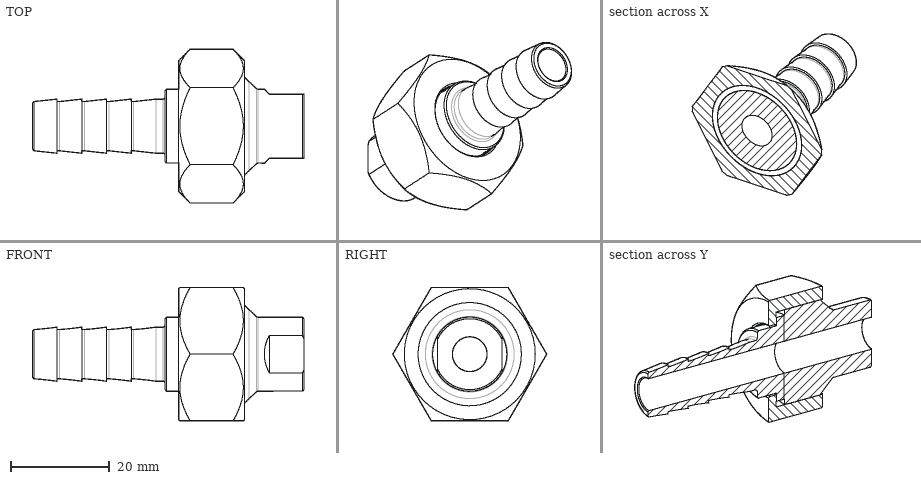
import cadquery as cq
import math

total_length = 55.0
bore_dia = 7.0
pipe_dia = 15.0
edge_chamfer = 0.35

barb_count = 4
barb_pitch = 5.0
barb_crest_dia = 11.0
barb_root_dia = 10.0
barb_groove_width = 0.5
tip_chamfer = 0.35
bore_chamfer = 0.2
collar_start = 26.85
collar_fillet = 0.4
flange_dia = 18.65
flange_thickness = 2.0

nut_start = 29.6
nut_length = 13.35
nut_across_flats = 27.0
nut_face_dia = 26.5
nut_hole_dia = 15.5
nut_hole_chamfer = 0.35
nut_lip_thickness = 2.0
thread_dia = 20.9

cone_end = 45.5
cone_seam_x = 43.9
cone_seam_dia = 18.0
cone_fillet = 0.55
wrench_flat_width = 13.0
wrench_flat_start = 47.95

nut_end = nut_start + nut_length
flange_start = nut_start + nut_lip_thickness
body_start = flange_start + flange_thickness
pipe_radius = pipe_dia / 2
thread_chamfer_start = cone_seam_x - (thread_dia - cone_seam_dia) / 2
neck_angle = math.atan2((cone_seam_dia - pipe_dia) / 2, cone_end - cone_seam_x)


def revolve_about_x(profile):
    """Turn a closed (x, radius) profile in the XY plane about the X axis."""
    return profile.close().revolve(360, (0, 0, 0), (1, 0, 0))


def cylinder_along_x(start, end, diameter):
    return cq.Workplane("YZ", origin=(start, 0, 0)).circle(diameter / 2).extrude(end - start)


def make_tail():
    """Barbed hose tail with a collar and the flange held by the nut."""
    bore_radius = bore_dia / 2
    crest_radius = barb_crest_dia / 2
    root_radius = barb_root_dia / 2
    profile = (
        cq.Workplane("XY")
        .moveTo(bore_chamfer, bore_radius)
        .lineTo(0, bore_radius + bore_chamfer)
        .lineTo(0, root_radius - tip_chamfer)
        .lineTo(tip_chamfer, root_radius)
    )
    for barb in range(1, barb_count + 1):
        crest_x = barb * barb_pitch
        profile = (
            profile.lineTo(crest_x, crest_radius)
            .lineTo(crest_x, root_radius)
            .lineTo(crest_x + barb_groove_width, root_radius)
        )
    profile = (
        profile.lineTo((barb_count + 1) * barb_pitch, crest_radius)
        .lineTo(collar_start - collar_fillet, crest_radius)
        .radiusArc((collar_start, crest_radius + collar_fillet), -collar_fillet)
        .lineTo(collar_start, pipe_radius - edge_chamfer)
        .lineTo(collar_start + edge_chamfer, pipe_radius)
        .lineTo(flange_start, pipe_radius)
        .lineTo(flange_start, flange_dia / 2)
        .lineTo(body_start, flange_dia / 2)
        .lineTo(body_start, bore_radius)
    )
    return revolve_about_x(profile)


def make_nut():
    """Hexagonal union nut with corners along Y and bevelled at both ends."""
    across_corners = nut_across_flats / math.cos(math.pi / 6)
    hexagon = cq.Workplane("YZ", origin=(nut_start, 0, 0)).polygon(6, across_corners).extrude(nut_length)
    bevel_size = (across_corners - nut_face_dia) / 2
    bevel_envelope = cylinder_along_x(nut_start, nut_end, across_corners).edges().chamfer(bevel_size)
    hole_radius = nut_hole_dia / 2
    opening = revolve_about_x(
        cq.Workplane("XY")
        .moveTo(nut_start, 0)
        .lineTo(nut_start, hole_radius + nut_hole_chamfer)
        .lineTo(nut_start + nut_hole_chamfer, hole_radius)
        .lineTo(flange_start, hole_radius)
        .lineTo(flange_start, thread_dia / 2)
        .lineTo(nut_end, thread_dia / 2)
        .lineTo(nut_end, 0)
    )
    return hexagon.intersect(bevel_envelope).cut(opening)


def make_wrench_flat_cutter(side):
    """Material outside one wrench flat, with a 45 degree run-out; side is +1 or -1."""
    flat_y = wrench_flat_width / 2
    cut_depth = pipe_dia - flat_y
    return (
        cq.Workplane("XY")
        .moveTo(wrench_flat_start, side * flat_y)
        .lineTo(total_length, side * flat_y)
        .lineTo(total_length, side * (flat_y + cut_depth))
        .lineTo(wrench_flat_start - cut_depth, side * (flat_y + cut_depth))
        .close()
        .extrude(pipe_radius, both=True)
    )


def make_threaded_body():
    """Body screwed into the nut, tapering to an outlet with two wrench flats."""
    fillet_reach = cone_fillet * math.tan(neck_angle / 2)
    cone_reach_x = fillet_reach * math.cos(neck_angle)
    cone_reach_radial = fillet_reach * math.sin(neck_angle)
    body = revolve_about_x(
        cq.Workplane("XY")
        .moveTo(body_start, bore_dia / 2)
        .lineTo(body_start, thread_dia / 2)
        .lineTo(thread_chamfer_start, thread_dia / 2)
        .lineTo(cone_seam_x, cone_seam_dia / 2)
        .lineTo(cone_end - cone_reach_x, pipe_radius + cone_reach_radial)
        .radiusArc((cone_end + fillet_reach, pipe_radius), -cone_fillet)
        .lineTo(total_length - edge_chamfer, pipe_radius)
        .lineTo(total_length, pipe_radius - edge_chamfer)
        .lineTo(total_length, bore_dia / 2)
    )
    for side in (1, -1):
        body = body.cut(make_wrench_flat_cutter(side))
    return body


tail = make_tail()
nut = make_nut()
threaded_body = make_threaded_body()

result = cq.Compound.makeCompound([tail.val(), nut.solids().val(), threaded_body.solids().val()])